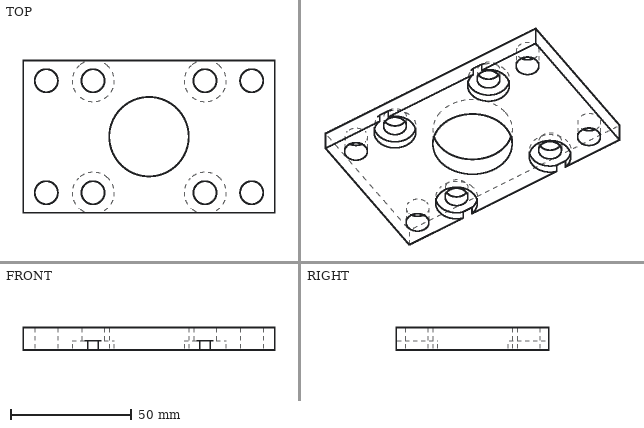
import cadquery as cq

length = 104.8
width = 63.5
thickness = 9.5

bore_diameter = 33.0

hole_diameter = 9.5
inner_spacing = 46.6
outer_spacing_x = 85.5

counterbore_diameter = 17.4
counterbore_depth = 3.9


def rectangle_of_cylinders(spacing_x, spacing_y, diameter, height):
    """Four upright cylinders standing on the bottom face, at the corners of a rectangle."""
    return (
        cq.Workplane("XY")
        .rect(spacing_x, spacing_y, forConstruction=True)
        .vertices()
        .circle(diameter / 2)
        .extrude(height)
    )


plate = cq.Workplane("XY").box(length, width, thickness, centered=(True, True, False))
bore = cq.Workplane("XY").circle(bore_diameter / 2).extrude(thickness)
inner_holes = rectangle_of_cylinders(inner_spacing, inner_spacing, hole_diameter, thickness)
outer_holes = rectangle_of_cylinders(outer_spacing_x, inner_spacing, hole_diameter, thickness)
counterbores = rectangle_of_cylinders(
    inner_spacing, inner_spacing, counterbore_diameter, counterbore_depth
)

result = plate.cut(bore).cut(inner_holes).cut(outer_holes).cut(counterbores)